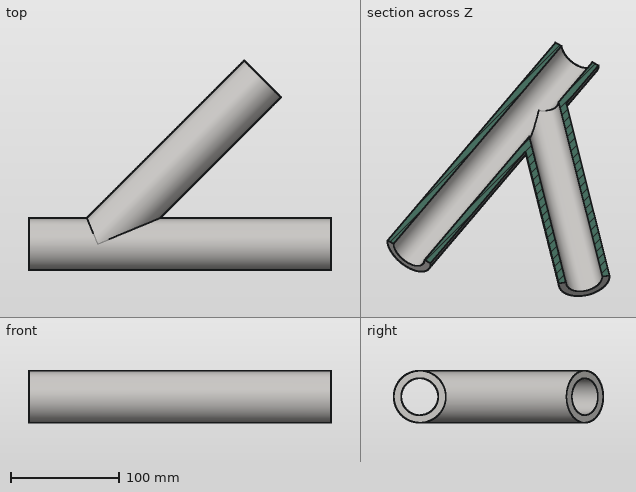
import cadquery as cq
import math

OUTER_DIAMETER = 48.26
BORE_DIAMETER = 33.98
RUN_LENGTH = 279.4
INLET_TO_JUNCTION = 63.5
BRANCH_LENGTH = 215.9
BRANCH_ANGLE = 45.0


def rod(start, direction, length, diameter):
    """Solid cylinder from a start point along a direction."""
    return cq.Workplane(cq.Solid.makeCylinder(diameter / 2, length, start, direction))


def run_and_branch(diameter):
    """Run and branch cylinders of one diameter, joined together."""
    run_start = cq.Vector(-INLET_TO_JUNCTION, 0, 0)
    run = rod(run_start, cq.Vector(1, 0, 0), RUN_LENGTH, diameter)

    junction = cq.Vector(0, 0, 0)
    angle = math.radians(BRANCH_ANGLE)
    branch_direction = cq.Vector(math.cos(angle), math.sin(angle), 0)
    branch = rod(junction, branch_direction, BRANCH_LENGTH, diameter)
    return run.union(branch)


outer_body = run_and_branch(OUTER_DIAMETER)
bores = run_and_branch(BORE_DIAMETER)
result = outer_body.cut(bores)